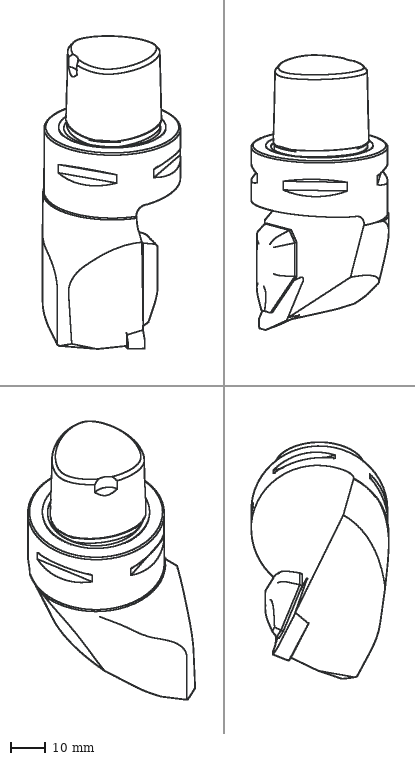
import cadquery as cq
import math


SHANK_TOP = 24.0
SHANK_BOTTOM = 1.5
SHANK_TOP_RADIUS = 13.5
SHANK_BOTTOM_RADIUS = 14.0
LOBE_HEIGHT = 0.9
TOP_CHAMFER = 1.0
TOP_CHAMFER_HEIGHT = 1.2
NECK_STEP = 0.25
OUTLINE_POINTS = 24

RELIEF_RADIUS = 14.0
RELIEF_HEIGHT = 1.0
RELIEF_BEVEL = 1.0

NOTCH_RADIUS = 5.0
NOTCH_AXIS_Y = -16.05
NOTCH_FLOOR = 19.7

FLANGE_RADIUS = 20.0
FLANGE_HEIGHT = 20.5
FLANGE_CHAMFER = 0.5
RECESS_RADIUS = 15.7
RECESS_FLOOR_RADIUS = 14.2
RECESS_FLOOR = -0.3
RECESS_GROOVE_RADIUS = 14.8
RECESS_GROOVE_BOTTOM = -0.8

SLOT_COUNT = 4
SLOT_FLOOR_DISTANCE = 17.6
SLOT_FLOOR_WIDTH = 2.6
SLOT_MOUTH_WIDTH = 5.2
SLOT_CENTER_Z = -8.1

UNDERCUT_OUTER_Z = -16.2
UNDERCUT_INNER_Z = -17.4
UNDERCUT_INNER_Y = 3.5
UNDERCUT_CORNER_Z = -20.3

ARM_RADIUS = 20.3
ARM_DEPTH = 25.2
WALL_ANGLE = 21.2
WALL_BLEND_RADIUS = 17.0
SHOULDER_OFFSET = 2.5
SHOULDER_FILLET = 4.6
ARM_REACH = 32.9
REACH_BLEND_RADIUS = 11.2

END_FACE_POINT = (24.45, 0, -26.9)
END_FACE_NORMAL = (1, -0.049, 0.04)

BACK_RADIUS = 30.2
BACK_LEAN = 0.357
BACK_X = -19.8

HEEL = (-13.9, -37.2)
CREASE = (13.4, -54.1)
TOE = (24.7, -58.5)

TIP_RELIEF = [(21.25, -25.2, -57.5), (24.7, -22.0, -55.8), (24.0, -16.8, -58.4)]

BOSS_HEIGHT = 6.9
BOSS_BASE_HEIGHT = 0.75
BOSS_OUTLINE = [(12.6, -27.7), (23.5, -27.7), (23.5, -54.1), (21, -54.1), (10.1, -41.2), (10.1, -31.1)]
BOSS_TAPER = 20
BOSS_BEVEL_TOP = (6.9, -43.85)
BOSS_BEVEL_BOTTOM = (0, -59.6)
BOSS_RIM_RADIUS = 3.8

NOSE_LOW_X = 24.1
NOSE_HIGH_Z = -57.1
NOSE_CORNER = (27.05, -60.0)
NOSE_RADIUS = 0.7
EDGE_FROM_NOSE = 10.6
BACK_EDGE = 17.3
LOWER_HEADING = 154.0
UPPER_HEADING = 119.0
INSERT_THICKNESS = 5.0
INSERT_RELIEF_ANGLE = 7

FAR = 50.4


def lobed_outline(mean_radius, z):
    """Constant-width outline with three lobes, one of them toward +Y."""
    points = []
    for i in range(OUTLINE_POINTS):
        angle = 2 * math.pi * i / OUTLINE_POINTS
        lobe_phase = 3 * (angle - math.pi / 2)
        reach = mean_radius + LOBE_HEIGHT * math.cos(lobe_phase)
        slope = -3 * LOBE_HEIGHT * math.sin(lobe_phase)
        x = reach * math.cos(angle) - slope * math.sin(angle)
        y = reach * math.sin(angle) + slope * math.cos(angle)
        points.append(cq.Vector(x, y, z))
    return cq.Wire.assembleEdges([cq.Edge.makeSpline(points, periodic=True)])


def lobed_section(bottom_radius, bottom_z, top_radius, top_z):
    outlines = [lobed_outline(bottom_radius, bottom_z), lobed_outline(top_radius, top_z)]
    return cq.Workplane(cq.Solid.makeLoft(outlines, True))


def make_shank():
    chamfer_z = SHANK_TOP - TOP_CHAMFER_HEIGHT
    neck_radius = SHANK_BOTTOM_RADIUS - NECK_STEP
    taper = lobed_section(SHANK_BOTTOM_RADIUS, SHANK_BOTTOM, SHANK_TOP_RADIUS, chamfer_z)
    chamfer = lobed_section(SHANK_TOP_RADIUS, chamfer_z, SHANK_TOP_RADIUS - TOP_CHAMFER, SHANK_TOP)
    neck = lobed_section(neck_radius, RECESS_FLOOR, neck_radius, SHANK_BOTTOM)
    relief_outer = RELIEF_RADIUS + 2 * RELIEF_BEVEL
    relief_top = RELIEF_HEIGHT + RELIEF_BEVEL
    relief = (
        cq.Workplane("XZ")
        .moveTo(RELIEF_RADIUS, RECESS_FLOOR)
        .lineTo(RELIEF_RADIUS, RELIEF_HEIGHT)
        .lineTo(RELIEF_RADIUS + RELIEF_BEVEL, relief_top)
        .lineTo(relief_outer, relief_top)
        .lineTo(relief_outer, RECESS_FLOOR)
        .close()
        .revolve(360, (0, 0, 0), (0, 1, 0))
    )
    return neck.union(taper).union(chamfer).cut(relief).cut(make_notch())


def make_notch():
    """Drilled hole with a 90 degree point, open on the side and top of the shank."""
    return (
        cq.Workplane("XZ", origin=(0, NOTCH_AXIS_Y, 0))
        .moveTo(0, NOTCH_FLOOR - NOTCH_RADIUS)
        .lineTo(NOTCH_RADIUS, NOTCH_FLOOR)
        .lineTo(NOTCH_RADIUS, SHANK_TOP)
        .lineTo(0, SHANK_TOP)
        .close()
        .revolve(360, (0, 0, 0), (0, 1, 0))
    )


def make_flange():
    groove_bottom = (RECESS_GROOVE_RADIUS, RECESS_GROOVE_BOTTOM)
    flange = (
        cq.Workplane("XZ")
        .moveTo(0, -FLANGE_HEIGHT)
        .lineTo(FLANGE_RADIUS, -FLANGE_HEIGHT)
        .lineTo(FLANGE_RADIUS, -FLANGE_CHAMFER)
        .lineTo(FLANGE_RADIUS - FLANGE_CHAMFER, 0)
        .lineTo(RECESS_RADIUS, 0)
        .threePointArc(groove_bottom, (RECESS_FLOOR_RADIUS, RECESS_FLOOR))
        .lineTo(0, RECESS_FLOOR)
        .close()
        .revolve(360, (0, 0, 0), (0, 1, 0))
    )
    for i in range(SLOT_COUNT):
        flange = flange.cut(make_slot(45 + i * 360 / SLOT_COUNT))
    return flange.cut(make_undercut())


def make_slot(angle):
    """Straight gripper slot with sloping sides, cut across the rim."""
    floor_half = SLOT_FLOOR_WIDTH / 2
    mouth_half = SLOT_MOUTH_WIDTH / 2
    return (
        cq.Workplane("XZ")
        .moveTo(SLOT_FLOOR_DISTANCE, SLOT_CENTER_Z - floor_half)
        .lineTo(FLANGE_RADIUS, SLOT_CENTER_Z - mouth_half)
        .lineTo(FLANGE_RADIUS, SLOT_CENTER_Z + mouth_half)
        .lineTo(SLOT_FLOOR_DISTANCE, SLOT_CENTER_Z + floor_half)
        .close()
        .extrude(FLANGE_RADIUS, both=True)
        .rotate((0, 0, 0), (0, 0, 1), angle)
    )


def make_undercut():
    """Clearance under the +Y half of the flange, with a rounded inner corner."""
    slope = (UNDERCUT_INNER_Z - UNDERCUT_OUTER_Z) / (UNDERCUT_INNER_Y - FLANGE_RADIUS)
    return (
        cq.Workplane("YZ")
        .moveTo(0, -FAR)
        .lineTo(0, UNDERCUT_CORNER_Z)
        .tangentArcPoint((UNDERCUT_INNER_Y, UNDERCUT_INNER_Z), relative=False)
        .lineTo(FAR, UNDERCUT_INNER_Z + slope * (FAR - UNDERCUT_INNER_Y))
        .lineTo(FAR, -FAR)
        .close()
        .extrude(FAR, both=True)
    )


def make_arm():
    arm = make_arm_walls().intersect(make_arm_shoulder())
    return arm.intersect(make_arm_side()).intersect(make_arm_back()).cut(make_tip_relief())


def make_arm_walls():
    """Upright walls of the arm, from the round part to the flat -Y side."""
    tilt = math.radians(WALL_ANGLE)
    wall_start = (-ARM_RADIUS * math.sin(tilt), -ARM_RADIUS * math.cos(tilt))
    round_middle = (-ARM_RADIUS * math.cos(tilt), -ARM_RADIUS * math.sin(tilt))
    blend_start_y = -ARM_DEPTH + WALL_BLEND_RADIUS * (1 - math.cos(tilt))
    blend_start_x = wall_start[0] + (wall_start[1] - blend_start_y) / math.tan(tilt)
    blend_end_x = blend_start_x + WALL_BLEND_RADIUS * math.sin(tilt)
    return (
        cq.Workplane("XY", origin=(0, 0, -FLANGE_HEIGHT))
        .moveTo(-ARM_RADIUS, 0)
        .threePointArc(round_middle, wall_start)
        .lineTo(blend_start_x, blend_start_y)
        .tangentArcPoint((blend_end_x, -ARM_DEPTH), relative=False)
        .lineTo(FAR, -ARM_DEPTH)
        .lineTo(FAR, 0)
        .close()
        .extrude(-FAR)
    )


def make_arm_shoulder():
    """Turned envelope: ledge, concave fillet, 45 degree cone and convex blend to the outer reach."""
    diagonal = math.sqrt(0.5)
    cone_start = ARM_RADIUS + SHOULDER_FILLET * (1 - diagonal)
    fillet_top_z = -(cone_start + SHOULDER_OFFSET) + SHOULDER_FILLET * diagonal
    cone_end = ARM_REACH - REACH_BLEND_RADIUS * (1 - diagonal)
    blend_end_z = -(cone_end + SHOULDER_OFFSET) - REACH_BLEND_RADIUS * diagonal
    return (
        cq.Workplane("XZ")
        .moveTo(0, -FLANGE_HEIGHT)
        .lineTo(FLANGE_RADIUS, -FLANGE_HEIGHT)
        .lineTo(ARM_RADIUS, fillet_top_z)
        .radiusArc((cone_start, -(cone_start + SHOULDER_OFFSET)), -SHOULDER_FILLET)
        .lineTo(cone_end, -(cone_end + SHOULDER_OFFSET))
        .radiusArc((ARM_REACH, blend_end_z), REACH_BLEND_RADIUS)
        .lineTo(ARM_REACH, -2 * FAR)
        .lineTo(0, -2 * FAR)
        .close()
        .revolve(360, (0, 0, 0), (0, 1, 0))
    )


def make_arm_side():
    """Block above the lower edge of the arm and inside its slightly tilted +X end face."""
    toe_slope = (TOE[1] - CREASE[1]) / (TOE[0] - CREASE[0])
    heel_slope = (CREASE[1] - HEEL[1]) / (CREASE[0] - HEEL[0])
    block = (
        cq.Workplane("XZ")
        .moveTo(-FAR, 0)
        .lineTo(-FAR, CREASE[1] - heel_slope * (CREASE[0] + FAR))
        .lineTo(*CREASE)
        .lineTo(FAR, CREASE[1] + toe_slope * (FAR - CREASE[0]))
        .lineTo(FAR, 0)
        .close()
        .extrude(FAR)
    )
    end_plane = cq.Plane(origin=END_FACE_POINT, xDir=(0, 1, 0), normal=END_FACE_NORMAL)
    beyond_end = cq.Workplane(end_plane).rect(4 * FAR, 4 * FAR).extrude(FAR)
    return block.cut(beyond_end)


def make_arm_back():
    """Leaning cylinder whose -X side forms the back of the arm."""
    stretch = math.hypot(1, BACK_LEAN)
    axis = cq.Vector(BACK_LEAN, 0, -1)
    center = cq.Vector(BACK_X + BACK_RADIUS * stretch, 0, -FLANGE_HEIGHT)
    start = center - axis * FAR
    cylinder = cq.Solid.makeCylinder(BACK_RADIUS, 3 * FAR, start, axis)
    front_block = cq.Workplane("XY").box(2 * FAR, 2 * FAR, 4 * FAR).translate((FAR, 0, 0))
    return cq.Workplane(cylinder).union(front_block)


def make_tip_relief():
    """Slanted cut under the corner where the flat side meets the outer reach."""
    first, second, third = [cq.Vector(*point) for point in TIP_RELIEF]
    normal = (third - first).cross(second - first)
    plane = cq.Plane(origin=first, xDir=second - first, normal=normal)
    return cq.Workplane(plane).rect(FAR, FAR).extrude(FAR / 4)


def make_boss():
    """Tapered boss on the rake face with a bevelled lower end and a rounded outer rim."""
    foot = cq.Workplane("XZ").polyline(BOSS_OUTLINE).close().extrude(-BOSS_BASE_HEIGHT)
    boss = (
        cq.Workplane("XZ", origin=(0, BOSS_BASE_HEIGHT, 0))
        .polyline(BOSS_OUTLINE)
        .close()
        .extrude(BOSS_BASE_HEIGHT - BOSS_HEIGHT, taper=BOSS_TAPER)
    )
    bevel = (
        cq.Workplane("YZ")
        .polyline([BOSS_BEVEL_TOP, (BOSS_HEIGHT, -FAR * 2), (0, -FAR * 2), BOSS_BEVEL_BOTTOM])
        .close()
        .extrude(FAR)
    )
    return boss.cut(bevel).faces(">Y").edges().fillet(BOSS_RIM_RADIUS).union(foot)


def heading(degrees):
    return cq.Vector(math.cos(math.radians(degrees)), math.sin(math.radians(degrees)))


def make_insert():
    """Rhombic insert, flush with the rake face, its flanks relieved toward -Y."""
    lower = heading(LOWER_HEADING)
    upper = heading(UPPER_HEADING)
    nose_low = cq.Vector(NOSE_LOW_X, NOSE_CORNER[1])
    nose_corner = cq.Vector(*NOSE_CORNER)
    nose_high = cq.Vector(NOSE_CORNER[0], NOSE_HIGH_Z)
    lower_corner = nose_low + lower * EDGE_FROM_NOSE
    upper_corner = nose_high + upper * EDGE_FROM_NOSE
    far_corner = lower_corner + upper * BACK_EDGE
    corners = [nose_low, nose_corner, nose_high, upper_corner, far_corner, lower_corner, nose_low]
    outline = cq.Sketch().polygon(corners).vertices().fillet(NOSE_RADIUS)
    return cq.Workplane("XZ").placeSketch(outline).extrude(INSERT_THICKNESS, taper=INSERT_RELIEF_ANGLE)


insert = make_insert()
holder = make_shank().union(make_flange()).union(make_arm()).union(make_boss())
holder = cq.Workplane(holder.cut(insert).val().Solids()[0])

result = cq.Compound.makeCompound([holder.val(), insert.val()])